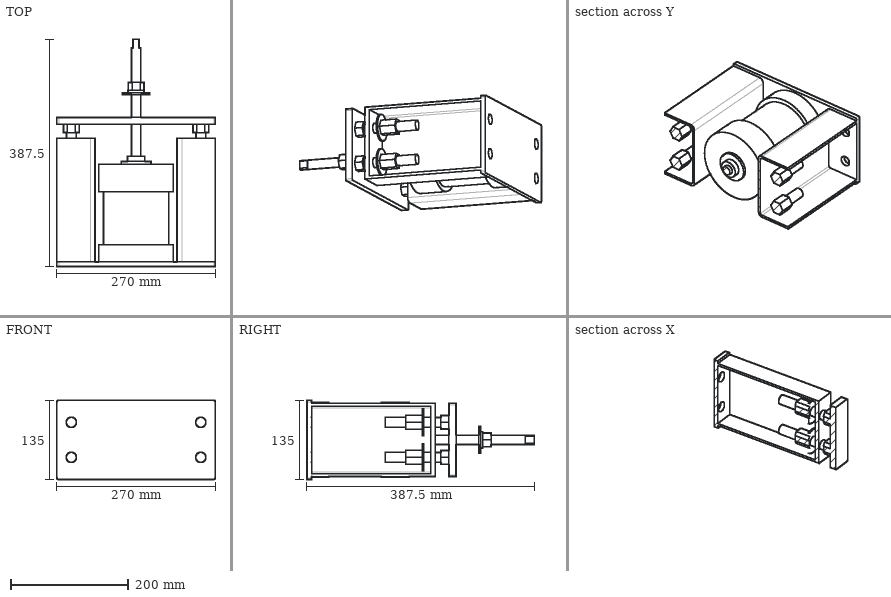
import cadquery as cq
import math


total_length = 387.5
plate_width = 270.0
base_height = 135.0

base_thickness = 8.0
plate_corner_radius = 3.0
rear_plate_thickness = 12.0
rear_plate_height = 125.0
rear_plate_front = 242.0

channel_depth = 65.5
channel_height = rear_plate_height
channel_rear = 219.0
channel_wall = 5.0
channel_bend_radius = 8.0
channel_cap_thickness = 8.0

stud_spacing_x = 220.5
stud_spacing_z = 59.5
stud_diameter = 17.0
stud_front = 133.2
base_hole_diameter = 17.5
nut_across_flats = 23.5
nut_length = 14.0
stud_washer_diameter = 45.7
stud_washer_thickness = 2.5
stud_washer_rear = 199.0

cylinder_steps = [
    (37.5, 127.5),
    (127.0, 111.5),
    (174.5, 127.5),
    (179.0, 51.0),
    (188.3, 30.0),
]

rod_diameter = 16.3
rod_flat_length = 15.0
rod_flat_width = 11.0
rod_washer_front = 293.0
rod_washer_diameter = 46.5
rod_washer_thickness = 3.5
rod_collar_diameter = 28.0
rod_collar_length = 3.5

half_width = plate_width / 2
stud_points = [
    (side * stud_spacing_x / 2, level * stud_spacing_z / 2) for side in (-1, 1) for level in (-1, 1)
]


def section_at(y):
    """Sketch plane across Y with local axes X and Z; a negative extrusion from it runs towards +Y."""
    return cq.Workplane(cq.Plane(origin=(0, y, 0), xDir=(1, 0, 0), normal=(0, -1, 0)))


def disc(y_start, y_end, diameter, points=((0, 0),)):
    """Round bars along Y centred on the given (X, Z) points."""
    return section_at(y_start).pushPoints(points).circle(diameter / 2).extrude(y_start - y_end)


def nut(y_start, points=((0, 0),)):
    """Hexagon nuts with two corners pointing along X."""
    across_corners = nut_across_flats / math.cos(math.radians(30))
    return section_at(y_start).pushPoints(points).polygon(6, across_corners).extrude(-nut_length)


def plate(y_start, thickness, height):
    """Full-width plate with its four corners rounded."""
    blank = section_at(y_start).rect(plate_width, height).extrude(-thickness)
    return blank.edges("|Y").fillet(plate_corner_radius)


def channel_bar(y_start, y_end, inset, bend_radius):
    """Left-hand bar from the open side to the web, shrunk by the inset, with its inner edges rounded."""
    depth = channel_depth - inset
    bar = (
        section_at(y_start)
        .center(-half_width + depth / 2, 0)
        .rect(depth, channel_height - 2 * inset)
        .extrude(y_start - y_end)
    )
    return bar.edges("|Y and >X").fillet(bend_radius)


def left_channel():
    """U-shaped channel, open towards -X and closed by a cap at the rear."""
    outside = channel_bar(base_thickness, channel_rear, 0, channel_bend_radius)
    cavity = channel_bar(
        base_thickness,
        channel_rear - channel_cap_thickness,
        channel_wall,
        channel_bend_radius - channel_wall,
    )
    return outside.cut(cavity)


base_plate = plate(0, base_thickness, base_height)
base_holes = disc(0, base_thickness, base_hole_diameter, stud_points)
rear_plate = plate(rear_plate_front, rear_plate_thickness, rear_plate_height)
channel = left_channel()
frame = base_plate.cut(base_holes).union(rear_plate).union(channel).union(channel.mirror("YZ"))

stud_washer_front = stud_washer_rear - stud_washer_thickness
studs = disc(stud_front, rear_plate_front, stud_diameter, stud_points)
studs = studs.union(disc(stud_washer_front, stud_washer_rear, stud_washer_diameter, stud_points))
for nut_start in (
    rear_plate_front - nut_length,
    stud_washer_front - nut_length,
    stud_washer_front - 2 * nut_length,
):
    studs = studs.union(nut(nut_start, stud_points))

assembly = frame.union(studs)
step_start = base_thickness
for step_end, step_diameter in cylinder_steps:
    assembly = assembly.union(disc(step_start, step_end, step_diameter))
    step_start = step_end
cylinder_rear = step_start

rod = disc(cylinder_rear, total_length, rod_diameter)
flat_start = total_length - rod_flat_length
tip_round = disc(flat_start, total_length, rod_diameter)
tip_flat = section_at(flat_start).rect(rod_flat_width, rod_diameter).extrude(-rod_flat_length)
rod = rod.cut(tip_round.cut(tip_flat))

collar_start = rod_washer_front + rod_washer_thickness
rod_nut_start = collar_start + rod_collar_length
rod = (
    rod.union(disc(rod_washer_front, collar_start, rod_washer_diameter))
    .union(disc(collar_start, rod_nut_start, rod_collar_diameter))
    .union(nut(rod_nut_start))
)

result = assembly.union(rod)